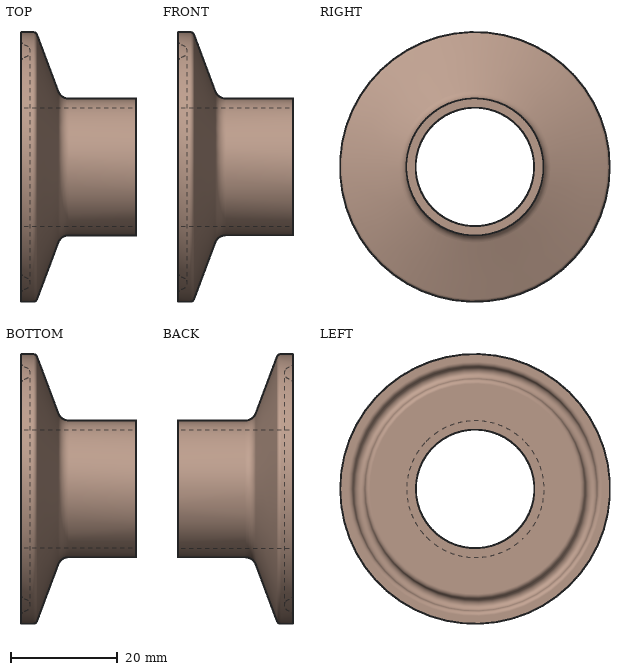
import cadquery as cq
import math

length = 21.5
flange_radius = 25.25
tube_radius = 12.85
bore_radius = 11.05
cone_angle = math.radians(20.5)
rim_width = 2.25
rim_fillet = 0.8
face_fillet = 0.15
neck_fillet = 2.0

groove_radius = 21.7
groove_half_width = 2.0
lip_fillet = 0.9
bottom_fillet = 1.1
flank_angle = math.radians(70)


def arc_point(center, radius, angle):
    """Point (x, r) on a circle; the angle is measured from +X towards +r."""
    return (center[0] + radius * math.cos(angle), center[1] + radius * math.sin(angle))


def body():
    """Flange, conical back, tube and bore, revolved from one half section."""
    rim_center = (rim_width, flange_radius - rim_fillet)
    neck_center_radius = tube_radius + neck_fillet
    center_drop = rim_center[1] - neck_center_radius
    center_gap = (rim_fillet + neck_fillet + center_drop * math.sin(cone_angle)) / math.cos(cone_angle)
    neck_end = rim_width + center_gap
    neck_center = (neck_end, neck_center_radius)
    face_center = (face_fillet, flange_radius - face_fillet)

    rim_middle = (cone_angle + math.pi / 2) / 2
    neck_start = math.pi + cone_angle
    neck_middle = (neck_start + 1.5 * math.pi) / 2
    section = (
        cq.Workplane("XY")
        .moveTo(0, bore_radius)
        .lineTo(0, flange_radius - face_fillet)
        .threePointArc(arc_point(face_center, face_fillet, 0.75 * math.pi), (face_fillet, flange_radius))
        .lineTo(rim_width, flange_radius)
        .threePointArc(
            arc_point(rim_center, rim_fillet, rim_middle),
            arc_point(rim_center, rim_fillet, cone_angle),
        )
        .lineTo(*arc_point(neck_center, neck_fillet, neck_start))
        .threePointArc(arc_point(neck_center, neck_fillet, neck_middle), (neck_end, tube_radius))
        .lineTo(length, tube_radius)
        .lineTo(length, bore_radius)
        .close()
    )
    return section.revolve(360, (0, 0, 0), (1, 0, 0))


def gasket_groove():
    """Ring cutter with rounded lips, short straight flanks and a round bottom."""
    flank_width = groove_half_width - (lip_fillet + bottom_fillet) * math.sin(flank_angle)
    fillet_depth = (lip_fillet + bottom_fillet) * (1 - math.cos(flank_angle))
    depth = fillet_depth + flank_width * math.tan(flank_angle)

    inner_lip_center = (lip_fillet, groove_radius - groove_half_width)
    outer_lip_center = (lip_fillet, groove_radius + groove_half_width)
    bottom_center = (depth - bottom_fillet, groove_radius)
    section = (
        cq.Workplane("XY")
        .moveTo(0, inner_lip_center[1])
        .threePointArc(
            arc_point(inner_lip_center, lip_fillet, math.pi - flank_angle / 2),
            arc_point(inner_lip_center, lip_fillet, math.pi - flank_angle),
        )
        .lineTo(*arc_point(bottom_center, bottom_fillet, -flank_angle))
        .threePointArc((depth, groove_radius), arc_point(bottom_center, bottom_fillet, flank_angle))
        .lineTo(*arc_point(outer_lip_center, lip_fillet, math.pi + flank_angle))
        .threePointArc(
            arc_point(outer_lip_center, lip_fillet, math.pi + flank_angle / 2),
            (0, outer_lip_center[1]),
        )
        .close()
    )
    return section.revolve(360, (0, 0, 0), (1, 0, 0))


result = body().cut(gasket_groove())